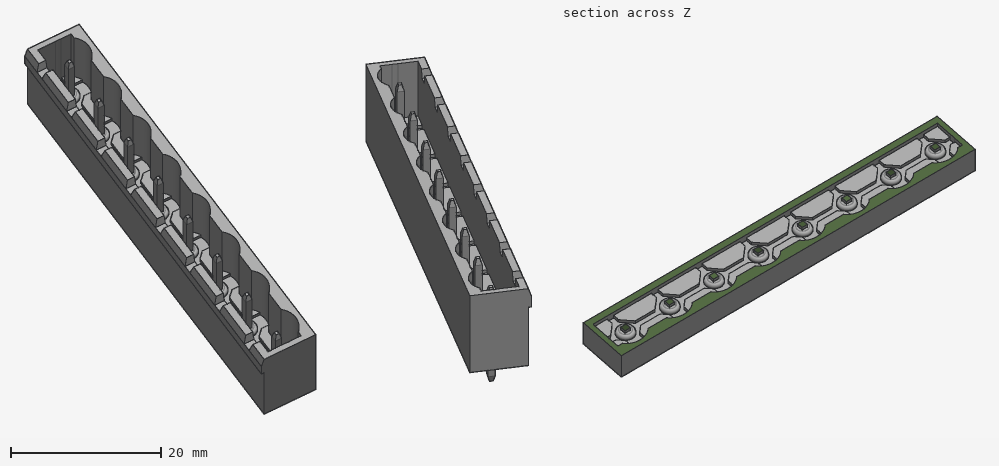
import cadquery as cq

pin_count = 8
pitch = 7.6
housing_length = pin_count * pitch
pin_positions = [(i - (pin_count - 1) / 2) * pitch for i in range(pin_count)]

housing_height = 12.0
back_y = 3.8
lip_depth = 0.4
overall_depth = 8.5
lip_y = back_y - overall_depth
front_y = lip_y + lip_depth
lip_height = 2.9
bevel_height = 1.3
bevel_z = housing_height - bevel_height

end_wall = 0.85
cavity_depth = 8.55
cavity_back_y = 2.0
cavity_front_y = -3.2
scallop_radius = 3.0
floor_z = housing_height - cavity_depth

groove_depth = 0.5
groove_width = 1.1
front_groove_width = 1.1
back_groove_width = 2.4
diamond_reach = 2.7
groove_z = floor_z - groove_depth

collar_diameter = 2.8
collar_rounding = 0.5
collar_height = 0.6

notch_bottom_width = 1.2
notch_top_width = 1.8

pin_width = 1.0
pin_tip_width = 0.5
pin_taper = 0.9
pin_below = 3.95
pin_top_gap = 1.35
pin_top_z = housing_height - pin_top_gap


def block(x_size, y_min, y_max, z_min, z_max, x_centre=0.0):
    """Box centred on x_centre between the given Y and Z limits."""
    return (
        cq.Workplane("XY")
        .box(x_size, y_max - y_min, z_max - z_min, centered=(True, False, False))
        .translate((x_centre, y_min, z_min))
    )


def make_shell():
    """Full-length housing profile with the beveled lip along the front."""
    return (
        cq.Workplane("YZ", origin=(-housing_length / 2, 0, 0))
        .moveTo(back_y, 0)
        .lineTo(back_y, housing_height)
        .lineTo(front_y, housing_height)
        .lineTo(lip_y, bevel_z)
        .lineTo(lip_y, housing_height - lip_height)
        .lineTo(front_y, housing_height - lip_height)
        .lineTo(front_y, 0)
        .close()
        .extrude(housing_length)
    )


def make_cavity(bottom_z):
    """Open-topped cavity: a long box plus one round scallop in the back wall per pin."""
    inner_length = housing_length - 2 * end_wall
    cavity = block(inner_length, cavity_front_y, cavity_back_y, bottom_z, housing_height)
    scallops = (
        cq.Workplane("XY", origin=(0, 0, bottom_z))
        .pushPoints([(x, 0) for x in pin_positions])
        .circle(scallop_radius)
        .extrude(housing_height - bottom_z)
    )
    return cavity.union(scallops)


def make_floor_grooves():
    """Floor recess: a groove along the row, a diamond and two cross grooves at every pin."""
    grooves = block(housing_length, -groove_width / 2, groove_width / 2, groove_z, floor_z)
    for x in pin_positions:
        diamond = (
            cq.Workplane("XY", origin=(x, 0, groove_z))
            .polyline([(diamond_reach, 0), (0, diamond_reach), (-diamond_reach, 0), (0, -diamond_reach)])
            .close()
            .extrude(groove_depth)
        )
        front_groove = block(front_groove_width, cavity_front_y, 0, groove_z, floor_z, x)
        back_groove = block(back_groove_width, 0, back_y, groove_z, floor_z, x)
        grooves = grooves.union(diamond).union(front_groove).union(back_groove)
    return grooves.intersect(make_cavity(groove_z))


def make_collar(x):
    """Disc with a rounded top edge, standing on the groove floor around a pin."""
    return (
        cq.Workplane("XY", origin=(x, 0, groove_z))
        .circle(collar_diameter / 2)
        .extrude(collar_height)
        .faces(">Z").edges().fillet(collar_rounding)
    )


def make_notch(x):
    """Notch in the front wall, wider at the rim than at its bottom."""
    return (
        cq.Workplane("XZ", origin=(x, cavity_front_y, 0))
        .polyline([
            (-notch_bottom_width / 2, bevel_z),
            (notch_bottom_width / 2, bevel_z),
            (notch_top_width / 2, housing_height),
            (-notch_top_width / 2, housing_height),
        ])
        .close()
        .extrude(cavity_front_y - lip_y)
    )


def make_pin(x):
    """Square pin through the housing floor, tapered at both ends."""
    shaft = block(
        pin_width, -pin_width / 2, pin_width / 2, pin_taper - pin_below, pin_top_z - pin_taper, x
    )
    for face in (">Z", "<Z"):
        shaft = (
            shaft.faces(face).workplane(centerOption="CenterOfMass")
            .rect(pin_width, pin_width)
            .workplane(offset=pin_taper)
            .rect(pin_tip_width, pin_tip_width)
            .loft(combine=True)
        )
    return shaft


def make_housing(pins):
    """Housing with a fitting hole for every pin."""
    body = make_shell().cut(make_cavity(floor_z)).cut(make_floor_grooves())
    for x, pin in zip(pin_positions, pins):
        body = body.union(make_collar(x)).cut(make_notch(x)).cut(pin)
    return body


pins = [make_pin(x) for x in pin_positions]
housing = make_housing(pins)

result = cq.Compound.makeCompound([housing.val(), *[pin.val() for pin in pins]])